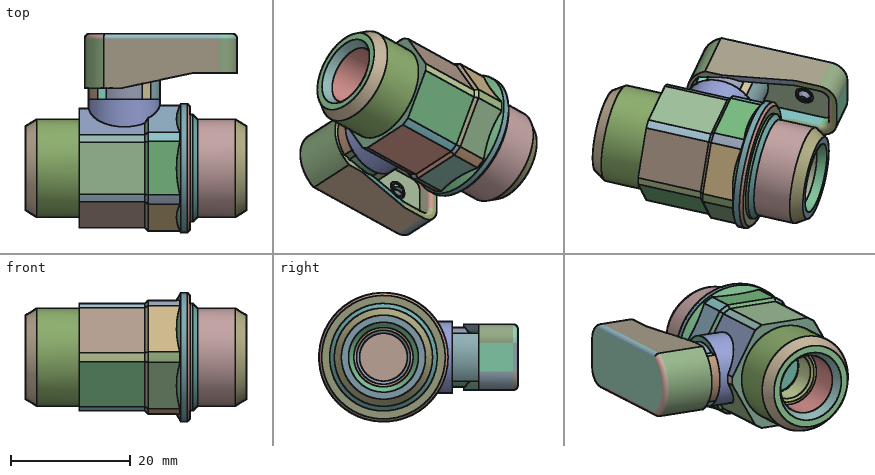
import cadquery as cq
import math


LENGTH = 37.0
THREAD_R = 8.2
TIP_R = 7.03
TIP_LENGTH = 1.92
PORT_R = 4.95
PORT_MOUTH_R = 5.85
PORT_MOUTH_DEPTH = 1.48
PORT_DEPTH = 7.0
THROAT_MOUTH_R = 4.5
THROAT_R = 4.0
THROAT_MOUTH_DEPTH = 0.3

SMALL_HEX_APOTHEM = 9.0
SMALL_HEX_CORNER_R = 10.0
LARGE_HEX_APOTHEM = 9.5
LARGE_HEX_CORNER_R = 10.5
SMALL_HEX_START = 9.0
SMALL_HEX_END = 19.98
LARGE_HEX_START = 20.55

FLANGE_R = 10.8
FLANGE_START = 26.0
FLANGE_END = 27.55
FLANGE_CHAMFER = 0.48
CONE_ANGLE = 60
CONE_LENGTH = (FLANGE_R - SMALL_HEX_APOTHEM) / math.tan(math.radians(CONE_ANGLE))
COLLAR_R = 9.0
COLLAR_LENGTH = 0.45
COLLAR_END = FLANGE_END + COLLAR_LENGTH + COLLAR_R - THREAD_R

STEM_X = 16.55
NECK_R = 6.0
NECK_TOP = 11.5
BALL_R = 6.48
BALL_FLAT = 4.95

HANDLE_LEFT = 9.9
HANDLE_RIGHT = 35.4
HANDLE_HALF_WIDTH = 5.5
HANDLE_BOTTOM = 13.4
HANDLE_TOP = 22.5
HANDLE_ARC_DEPTH = 3.2
HANDLE_CORNER_R = 3.1
HANDLE_EDGE_R = 0.8
SLOPE_START = 16.1
SLOPE_END = 28.1
SLOPE_TOP = 15.9
RIM_WIDTH = 0.8
RIM_ROUNDING = 0.7
POCKET_INSET = RIM_WIDTH + RIM_ROUNDING
POCKET_FLOOR = 18.5
HUB_R = 5.0
LUG_HALF_WIDTH = 4.0
SELECTION_MARGIN = 0.37

SCREW_X = 28.9
SCREW_R = 1.15
SCREW_DEPTH = 1.85
SCREW_HEAD_HEIGHT = 0.8
SCREW_TIP_R = 0.5
SCREW_NOTCH_DEPTH = 1.05
SCREW_NOTCH_WIDTH = 0.8
SCREW_RECESS_R = 1.55
SCREW_RECESS_DEPTH = 0.3


def turned(profile):
    """Solid of revolution about X from (x, radius) corners; the ends drop to the axis."""
    points = [(profile[0][0], 0), *profile, (profile[-1][0], 0)]
    return cq.Workplane("XY").polyline(points).close().revolve(360, (0, 0), (1, 0))


def hexagon(start, end, start_apothem, end_apothem):
    """Hexagonal length along X with flats facing +Z and -Z."""
    flats_on_y = (
        cq.Workplane("YZ", origin=(start, 0, 0))
        .polygon(6, 2 * start_apothem, circumscribed=True)
        .workplane(offset=end - start)
        .polygon(6, 2 * end_apothem, circumscribed=True)
        .loft(ruled=True)
    )
    return flats_on_y.rotate((0, 0, 0), (1, 0, 0), 90)


def upright(y_start, y_end, radius, x=STEM_X):
    """Cylinder parallel to Y."""
    return (
        cq.Workplane("XZ", origin=(x, y_start, 0))
        .circle(radius)
        .extrude(y_start - y_end)
    )


def hex_barrel():
    """Small and large hexagon joined by a sloped step, all corners turned round."""
    flats = (
        hexagon(SMALL_HEX_START, SMALL_HEX_END, SMALL_HEX_APOTHEM, SMALL_HEX_APOTHEM)
        .union(hexagon(SMALL_HEX_END, LARGE_HEX_START, SMALL_HEX_APOTHEM, LARGE_HEX_APOTHEM))
        .union(hexagon(LARGE_HEX_START, FLANGE_START, LARGE_HEX_APOTHEM, LARGE_HEX_APOTHEM))
    )
    envelope = turned([
        (SMALL_HEX_START, SMALL_HEX_CORNER_R),
        (SMALL_HEX_END, SMALL_HEX_CORNER_R),
        (LARGE_HEX_START, LARGE_HEX_CORNER_R),
        (FLANGE_START, LARGE_HEX_CORNER_R),
    ])
    return flats.intersect(envelope)


def port():
    """Stepped left-hand bore, from the mouth to the ball."""
    throat_start = PORT_DEPTH + THROAT_MOUTH_DEPTH
    return turned([
        (0, PORT_MOUTH_R),
        (PORT_MOUTH_DEPTH, PORT_R),
        (PORT_DEPTH, PORT_R),
        (PORT_DEPTH, THROAT_MOUTH_R),
        (throat_start, THROAT_R),
        (STEM_X, THROAT_R),
    ])


def make_ball():
    """Closed ball with a flat face toward each port."""
    ball = cq.Workplane("XY").sphere(BALL_R)
    slab = cq.Workplane("XY").box(2 * BALL_FLAT, 2 * BALL_R, 2 * BALL_R)
    return ball.intersect(slab).translate((STEM_X, 0, 0))


def make_housing(ball):
    """Pipe with hexagons, flange and neck, bored from both ends and hollowed for the ball."""
    pipe = turned([
        (0, TIP_R),
        (TIP_LENGTH, THREAD_R),
        (LENGTH - TIP_LENGTH, THREAD_R),
        (LENGTH, TIP_R),
    ])
    flange = turned([
        (FLANGE_START - CONE_LENGTH, SMALL_HEX_APOTHEM),
        (FLANGE_START, FLANGE_R),
        (FLANGE_END - FLANGE_CHAMFER, FLANGE_R),
        (FLANGE_END, FLANGE_R - FLANGE_CHAMFER),
        (FLANGE_END, COLLAR_R),
        (FLANGE_END + COLLAR_LENGTH, COLLAR_R),
        (COLLAR_END, THREAD_R),
    ])
    neck = upright(0, NECK_TOP, NECK_R)
    right_port = port().mirror("YZ", (LENGTH / 2, 0, 0))
    return (
        pipe.union(hex_barrel()).union(flange).union(neck)
        .cut(port()).cut(right_port).cut(ball)
    )


def handle_outline():
    """Handle outline in the XZ plane: bowed left end, rounded right corners."""
    arc_x = HANDLE_LEFT + HANDLE_ARC_DEPTH
    corner_x = HANDLE_RIGHT - HANDLE_CORNER_R
    corner_z = HANDLE_HALF_WIDTH - HANDLE_CORNER_R
    return (
        cq.Workplane("XZ", origin=(0, HANDLE_TOP, 0))
        .moveTo(arc_x, HANDLE_HALF_WIDTH)
        .lineTo(corner_x, HANDLE_HALF_WIDTH)
        .tangentArcPoint((HANDLE_RIGHT, corner_z), relative=False)
        .lineTo(HANDLE_RIGHT, -corner_z)
        .tangentArcPoint((corner_x, -HANDLE_HALF_WIDTH), relative=False)
        .lineTo(arc_x, -HANDLE_HALF_WIDTH)
        .threePointArc((HANDLE_LEFT, 0), (arc_x, HANDLE_HALF_WIDTH))
        .close()
    )


def handle_hub():
    """Round hub with a stop lug on its left and right."""
    height = POCKET_FLOOR - NECK_TOP
    lug_band = (
        cq.Workplane("XY", origin=(STEM_X, NECK_TOP + height / 2, 0))
        .box(2 * NECK_R, height, 2 * LUG_HALF_WIDTH)
    )
    lugs = upright(NECK_TOP, POCKET_FLOOR, NECK_R).intersect(lug_band)
    return upright(NECK_TOP, POCKET_FLOOR, HUB_R).union(lugs)


def make_handle(screw):
    """Lever hollow on the pipe side, with its hub and the screw hole in the pocket floor."""
    side_profile = (
        cq.Workplane("XY", origin=(0, 0, -HANDLE_HALF_WIDTH))
        .moveTo(HANDLE_LEFT, HANDLE_BOTTOM)
        .lineTo(SLOPE_START, HANDLE_BOTTOM)
        .lineTo(SLOPE_END, SLOPE_TOP)
        .lineTo(HANDLE_RIGHT, SLOPE_TOP)
        .lineTo(HANDLE_RIGHT, HANDLE_TOP)
        .lineTo(HANDLE_LEFT, HANDLE_TOP)
        .close()
        .extrude(2 * HANDLE_HALF_WIDTH)
    )
    block = handle_outline().extrude(HANDLE_TOP - HANDLE_BOTTOM)
    block = block.faces(">Y").edges().fillet(HANDLE_EDGE_R).intersect(side_profile)
    pocket = (
        handle_outline().offset2D(-POCKET_INSET)
        .extrude(HANDLE_TOP - HANDLE_BOTTOM)
        .translate((0, POCKET_FLOOR - HANDLE_TOP, 0))
    )
    shell = block.cut(pocket)
    mouth = cq.selectors.BoxSelector(
        (HANDLE_LEFT + RIM_WIDTH, HANDLE_BOTTOM - SELECTION_MARGIN, RIM_WIDTH - HANDLE_HALF_WIDTH),
        (HANDLE_RIGHT - RIM_WIDTH, SLOPE_TOP + SELECTION_MARGIN, HANDLE_HALF_WIDTH - RIM_WIDTH),
        boundingbox=True,
    )
    shell = shell.edges(mouth).fillet(RIM_ROUNDING)
    recess = upright(POCKET_FLOOR, POCKET_FLOOR + SCREW_RECESS_DEPTH, SCREW_RECESS_R, SCREW_X)
    return shell.union(handle_hub()).cut(recess).cut(screw)


def make_screw():
    """Headless screw whose conical end, notched along X, stands out of the handle floor."""
    shank = upright(POCKET_FLOOR, POCKET_FLOOR + SCREW_DEPTH, SCREW_R, SCREW_X)
    end = (
        cq.Workplane("XZ", origin=(SCREW_X, POCKET_FLOOR, 0))
        .circle(SCREW_R)
        .workplane(offset=SCREW_HEAD_HEIGHT)
        .circle(SCREW_TIP_R)
        .loft()
    )
    notch_root = POCKET_FLOOR - SCREW_HEAD_HEIGHT + SCREW_NOTCH_DEPTH
    notch = (
        cq.Workplane("YZ", origin=(SCREW_X, notch_root, 0))
        .polyline([(0, 0), (-SCREW_NOTCH_DEPTH, 0), (-SCREW_NOTCH_DEPTH, -SCREW_NOTCH_WIDTH)])
        .close()
        .extrude(SCREW_R, both=True)
    )
    return shank.union(end).cut(notch)


ball = make_ball()
housing = make_housing(ball)
screw = make_screw()
handle = make_handle(screw)

result = cq.Compound.makeCompound([housing.val(), ball.val(), handle.val(), screw.val()])